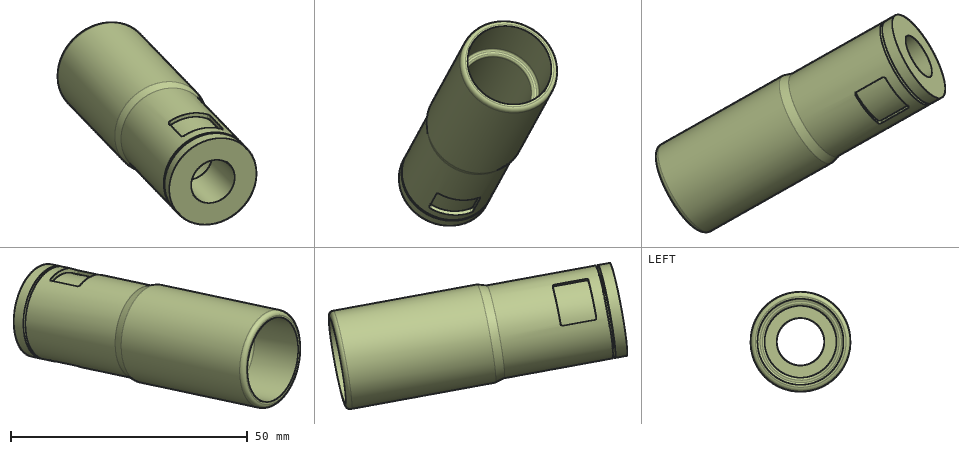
import cadquery as cq

LENGTH = 60.5

BODY_DIAMETER = 21.2
NECK_DIAMETER = 20.0
TAPER_START = 32.0
TAPER_END = 34.0

MOUTH_BORE_DIAMETER = 18.2
MOUTH_BORE_DEPTH = 12.0
CHAMBER_DIAMETER = 15.2
CHAMBER_END = 48.4
END_HOLE_DIAMETER = 10.0
STEP_FILLET = 0.5

MOUTH_FILLET = 2 * STEP_FILLET

GROOVE_DIAMETER = 15.7
GROOVE_START = 57.4
GROOVE_WIDTH = 0.55

POCKET_START = 47.25
POCKET_LENGTH = 7.7
POCKET_WIDTH = 9.5
POCKET_CORNER_RADIUS = 0.5
POCKET_FLOOR_DIAMETER = 18.2


def cylinder(diameter, start, length):
    """Solid cylinder along X."""
    return cq.Workplane("YZ").workplane(offset=start).circle(diameter / 2).extrude(length)


def outer_body():
    """Revolved body with a conical transition to the neck and a rounded mouth rim."""
    body_radius = BODY_DIAMETER / 2
    neck_radius = NECK_DIAMETER / 2
    body = (
        cq.Workplane("XZ")
        .polyline([
            (0, 0),
            (0, body_radius),
            (TAPER_START, body_radius),
            (TAPER_END, neck_radius),
            (LENGTH, neck_radius),
            (LENGTH, 0),
        ])
        .close()
        .revolve(360, (0, 0, 0), (1, 0, 0))
    )
    return body.faces("<X").edges().fillet(MOUTH_FILLET)


def bore():
    """Stepped cavity; both edges of the first shoulder are rounded."""
    mouth = cylinder(MOUTH_BORE_DIAMETER, 0, MOUTH_BORE_DEPTH)
    chamber = cylinder(CHAMBER_DIAMETER, 0, CHAMBER_END)
    cavity = mouth.union(chamber)
    cavity = cavity.faces(">X[-2]").edges().fillet(STEP_FILLET)
    return cavity.union(cylinder(END_HOLE_DIAMETER, 0, LENGTH))


def ring_groove():
    """Annular cutter for the groove."""
    ring = cylinder(BODY_DIAMETER, GROOVE_START, GROOVE_WIDTH)
    return ring.cut(cylinder(GROOVE_DIAMETER, GROOVE_START, GROOVE_WIDTH))


def pockets():
    """Rounded rectangular cutter through both sides, leaving the round floors."""
    block = (
        cq.Workplane("XY")
        .center(POCKET_START + POCKET_LENGTH / 2, 0)
        .rect(POCKET_LENGTH, POCKET_WIDTH)
        .extrude(BODY_DIAMETER / 2, both=True)
        .edges("|Z")
        .fillet(POCKET_CORNER_RADIUS)
    )
    return block.cut(cylinder(POCKET_FLOOR_DIAMETER, POCKET_START, POCKET_LENGTH))


result = outer_body().cut(bore()).cut(ring_groove()).cut(pockets())